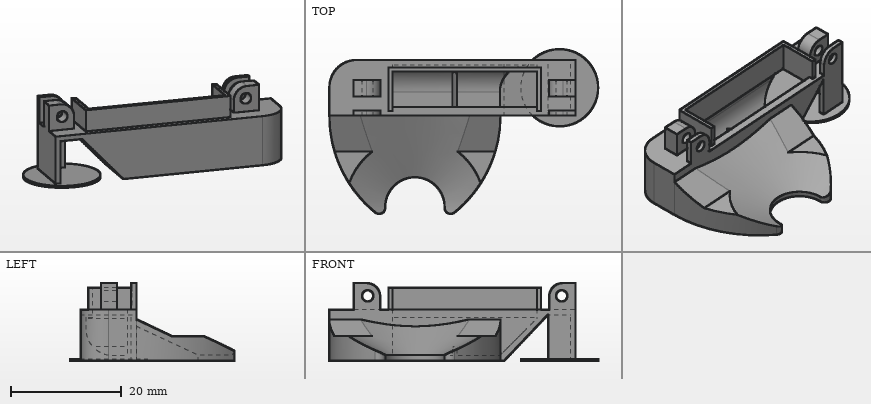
import cadquery as cq
import math


WALL = 0.95
HOUSING_LENGTH = 44.45
HOUSING_DEPTH = 10.1
HOUSING_HEIGHT = 9.25
HOUSING_CORNER_RADIUS = 5.0
END_SLOPE_START_X = 31.55
END_SLOPE_ANGLE = 46.5
END_SLAB_UNDERSIDE = HOUSING_HEIGHT - WALL

TRAY_LEFT = 10.7
TRAY_RIGHT = 38.25
TRAY_FRONT = 0.83
TRAY_BACK = 8.75
TRAY_TOP = 13.25
TRAY_WALL = 0.8
OPENING_FRONT = 1.6
OPENING_LEFT = TRAY_LEFT + TRAY_WALL
OPENING_RIGHT = TRAY_RIGHT - TRAY_WALL
OPENING_BACK = TRAY_BACK - TRAY_WALL

CAVITY_BACK = HOUSING_DEPTH - WALL
CAVITY_ROUND_RADIUS = 4.85
CAVITY_SLOPE_START_X = 30.77
CAVITY_SLOPE_ANGLE = 45
CAVITY_CEILING = 7.85

RIB_CENTER_X = 22.6
RIB_WIDTH = 0.8
RIB_TOP = 2.6
RIB_EDGE_RADIUS = 0.35

LUG_WIDTH = 4.8
LUG_TOP = 14.1
LUG_ROUND_RADIUS = 2.48
LEFT_LUG_X = 4.4
FRONT_LUG_THICKNESS = WALL
BACK_LUG_FRONT = 3.5
BACK_LUG_THICKNESS = 2.9
PIN_HOLE_DIAMETER = 2.0
PIN_HOLE_Z = 11.75
PIN_HOLE_INSET = 2.5

FRONT_PLATE_LEFT = 39.5
FOOT_DIAMETER = 14.0
FOOT_THICKNESS = 0.4
FOOT_CENTER_X = 41.55
FOOT_CENTER_Y = HOUSING_DEPTH / 2

SCOOP_WIDTH = 30.9
SCOOP_SIDE_RADIUS = 22.5
NOTCH_RADIUS = 5.35
NOTCH_CENTER_Y = -16.45
TIP_RADIUS = 1.1
SHOULDER_TOP = 7.5
SHOULDER_LOW = 4.45
SHOULDER_LENGTH = 6.45
BOWL_RIM_Z = 1.05
BOWL_SLOPE = math.tan(math.radians(25))


def box(x0, x1, y0, y1, z0, z1):
    """Box given by its limits along each axis."""
    return cq.Workplane("XY").box(x1 - x0, y1 - y0, z1 - z0, centered=False).translate((x0, y0, z0))


def prism_along_y(points, y0, y1):
    """Prism with an XZ outline, reaching from y0 to y1."""
    return cq.Workplane("XZ", origin=(0, y0, 0)).polyline(points).close().extrude(y0 - y1)


def make_housing():
    """Long block whose right end is undercut by a slope up to a thin slab."""
    slope_end_x = END_SLOPE_START_X + END_SLAB_UNDERSIDE / math.tan(math.radians(END_SLOPE_ANGLE))
    outline = [
        (0, 0),
        (END_SLOPE_START_X, 0),
        (slope_end_x, END_SLAB_UNDERSIDE),
        (HOUSING_LENGTH, END_SLAB_UNDERSIDE),
        (HOUSING_LENGTH, HOUSING_HEIGHT),
        (0, HOUSING_HEIGHT),
    ]
    housing = prism_along_y(outline, 0, HOUSING_DEPTH)
    return housing.edges("|Z and <X and >Y").fillet(HOUSING_CORNER_RADIUS)


def make_tray_wall():
    outer = box(TRAY_LEFT, TRAY_RIGHT, TRAY_FRONT, TRAY_BACK, HOUSING_HEIGHT, TRAY_TOP)
    inner = box(OPENING_LEFT, OPENING_RIGHT, TRAY_FRONT, OPENING_BACK, HOUSING_HEIGHT, TRAY_TOP)
    return outer.cut(inner)


def make_cavity():
    """Chamber with a rounded lower back edge and a sloped right end, reaching behind the opening."""
    slope_rise = (OPENING_RIGHT - CAVITY_SLOPE_START_X) * math.tan(math.radians(CAVITY_SLOPE_ANGLE))
    outline = [
        (OPENING_LEFT, WALL),
        (CAVITY_SLOPE_START_X, WALL),
        (OPENING_RIGHT, WALL + slope_rise),
        (OPENING_RIGHT, CAVITY_CEILING),
        (OPENING_LEFT, CAVITY_CEILING),
    ]
    sloped = prism_along_y(outline, OPENING_FRONT, CAVITY_BACK)
    rounded = box(OPENING_LEFT, OPENING_RIGHT, OPENING_FRONT, CAVITY_BACK, WALL, CAVITY_CEILING)
    rounded = rounded.edges("|X and >Y and <Z").fillet(CAVITY_ROUND_RADIUS)
    opening = box(OPENING_LEFT, OPENING_RIGHT, OPENING_FRONT, OPENING_BACK, CAVITY_CEILING, HOUSING_HEIGHT)
    return sloped.intersect(rounded).union(opening)


def make_rib():
    half = RIB_WIDTH / 2
    rib = box(RIB_CENTER_X - half, RIB_CENTER_X + half, WALL, CAVITY_BACK, WALL / 2, RIB_TOP)
    return rib.edges("|Y and >Z").fillet(RIB_EDGE_RADIUS)


def make_lug(x0, y0, thickness, rounded_side):
    """Lug on the housing top, rounded at the upper corner on the given side ('<X' or '>X')."""
    lug = box(x0, x0 + LUG_WIDTH, y0, y0 + thickness, END_SLAB_UNDERSIDE, LUG_TOP)
    return lug.edges(f"|Y and >Z and {rounded_side}").fillet(LUG_ROUND_RADIUS)


def make_lugs():
    right_lug_x = HOUSING_LENGTH - LUG_WIDTH
    lugs = cq.Workplane("XY")
    for x0, rounded_side in ((LEFT_LUG_X, ">X"), (right_lug_x, "<X")):
        lugs = lugs.add(make_lug(x0, 0, FRONT_LUG_THICKNESS, rounded_side))
        lugs = lugs.add(make_lug(x0, BACK_LUG_FRONT, BACK_LUG_THICKNESS, rounded_side))
    return lugs.combine()


def make_pin_holes():
    hole_places = [
        (LEFT_LUG_X + PIN_HOLE_INSET, PIN_HOLE_Z),
        (HOUSING_LENGTH - PIN_HOLE_INSET, PIN_HOLE_Z),
    ]
    return (
        cq.Workplane("XZ").pushPoints(hole_places)
        .circle(PIN_HOLE_DIAMETER / 2).extrude(-HOUSING_DEPTH)
    )


def make_support():
    """Front plate and end wall carrying the slab, standing on a round foot."""
    front_plate = box(FRONT_PLATE_LEFT, HOUSING_LENGTH, 0, FRONT_LUG_THICKNESS, 0, HOUSING_HEIGHT)
    foot = (
        cq.Workplane("XY").center(FOOT_CENTER_X, FOOT_CENTER_Y)
        .circle(FOOT_DIAMETER / 2).extrude(FOOT_THICKNESS)
    )
    end_wall = box(HOUSING_LENGTH - WALL, HOUSING_LENGTH, 0, HOUSING_DEPTH, 0, HOUSING_HEIGHT)
    return front_plate.union(end_wall).union(foot)


def make_scoop():
    """Two-armed scoop: curved sides, sloped and flat shoulders, a round notch and a conical hollow."""
    center_x = SCOOP_WIDTH / 2
    notch_left = center_x - NOTCH_RADIUS
    notch_right = center_x + NOTCH_RADIUS

    tip_center_x = notch_left - TIP_RADIUS
    center_distance = SCOOP_SIDE_RADIUS - TIP_RADIUS
    tip_offset_x = SCOOP_SIDE_RADIUS - tip_center_x
    tip_center_y = -math.sqrt(center_distance ** 2 - tip_offset_x ** 2)
    touch_ratio = SCOOP_SIDE_RADIUS / center_distance
    touch_x = SCOOP_SIDE_RADIUS - tip_offset_x * touch_ratio
    touch_y = tip_center_y * touch_ratio
    side_angle = math.asin(-touch_y / SCOOP_SIDE_RADIUS) / 2
    side_x = SCOOP_SIDE_RADIUS * (1 - math.cos(side_angle))
    side_y = -SCOOP_SIDE_RADIUS * math.sin(side_angle)
    tip_bottom = tip_center_y - TIP_RADIUS

    plan = (
        cq.Workplane("XY")
        .moveTo(0, 0)
        .threePointArc((side_x, side_y), (touch_x, touch_y))
        .threePointArc((tip_center_x, tip_bottom), (notch_left, tip_center_y))
        .lineTo(notch_left, NOTCH_CENTER_Y)
        .threePointArc((center_x, NOTCH_CENTER_Y + NOTCH_RADIUS), (notch_right, NOTCH_CENTER_Y))
        .lineTo(notch_right, tip_center_y)
        .threePointArc((SCOOP_WIDTH - tip_center_x, tip_bottom), (SCOOP_WIDTH - touch_x, touch_y))
        .threePointArc((SCOOP_WIDTH - side_x, side_y), (SCOOP_WIDTH, 0))
        .close()
        .extrude(SHOULDER_TOP)
    )

    shoulder_profile = [
        (0, 0),
        (0, SHOULDER_TOP),
        (-SHOULDER_LENGTH, SHOULDER_LOW),
        (tip_bottom, SHOULDER_LOW),
        (tip_bottom, 0),
    ]
    shoulders = cq.Workplane("YZ").polyline(shoulder_profile).close().extrude(SCOOP_WIDTH)
    return plan.intersect(shoulders).cut(make_bowl())


def make_bowl():
    """Conical hollow of the scoop, coaxial with the round notch."""
    top_radius = NOTCH_RADIUS + (SHOULDER_TOP - BOWL_RIM_Z) / BOWL_SLOPE
    profile = [
        (0, BOWL_RIM_Z),
        (NOTCH_RADIUS, BOWL_RIM_Z),
        (top_radius, SHOULDER_TOP),
        (0, SHOULDER_TOP),
    ]
    cone = cq.Workplane("XZ").polyline(profile).close().revolve(360, (0, 0), (0, 1))
    return cone.translate((SCOOP_WIDTH / 2, NOTCH_CENTER_Y, 0))


result = (
    make_housing()
    .cut(make_cavity())
    .union(make_rib())
    .union(make_tray_wall())
    .union(make_lugs())
    .union(make_support())
    .cut(make_pin_holes())
    .union(make_scoop())
)